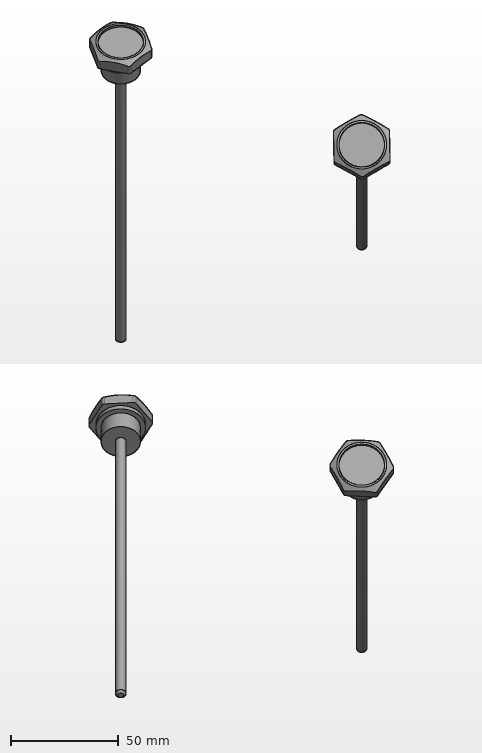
import cadquery as cq
import math

total_length = 199.0
across_flats = 26.0
across_corners = 29.7
sharp_corners = across_flats / math.cos(math.radians(30))
corner_radius = (sharp_corners - across_corners) / (2 / math.cos(math.radians(30)) - 2)

head_height = 6.8
top_chamfer_diameter = 23.0
recess_diameter = 21.0
recess_depth = 1.2
chamfer_angle = 30.0

collar_diameter = 23.0
collar_height = 2.4
boss_diameter = 18.3
boss_height = 9.8

rod_diameter = 5.0
tip_chamfer = 1.2


def cylinder(diameter, bottom, top):
    """Upright cylinder on the Z axis between two heights."""
    return cq.Workplane("XY").workplane(offset=bottom).circle(diameter / 2).extrude(top - bottom)


def make_head(bottom, top):
    """Hexagon with rounded corners, a conical top chamfer and a flat-bottomed recess."""
    hexagon = (
        cq.Workplane("XY").workplane(offset=bottom)
        .transformed(rotate=(0, 0, 90))
        .polygon(6, sharp_corners)
        .extrude(top - bottom)
        .edges("|Z")
        .fillet(corner_radius)
    )
    outer_radius = sharp_corners / 2
    chamfer_radius = top_chamfer_diameter / 2
    chamfer_drop = (outer_radius - chamfer_radius) * math.tan(math.radians(chamfer_angle))
    envelope = (
        cq.Workplane("XZ")
        .moveTo(0, bottom)
        .lineTo(outer_radius, bottom)
        .lineTo(outer_radius, top - chamfer_drop)
        .lineTo(chamfer_radius, top)
        .lineTo(0, top)
        .close()
        .revolve(360, (0, 0), (0, 1))
    )
    recess = cylinder(recess_diameter, top - recess_depth, top)
    return hexagon.intersect(envelope).cut(recess)


head_bottom = total_length - head_height
collar_bottom = head_bottom - collar_height
boss_bottom = collar_bottom - boss_height

head = make_head(head_bottom, total_length)
collar = cylinder(collar_diameter, collar_bottom, head_bottom)
boss = cylinder(boss_diameter, boss_bottom, collar_bottom)
rod = cylinder(rod_diameter, 0, boss_bottom).faces("<Z").chamfer(tip_chamfer)

result = head.union(collar).union(boss).union(rod)